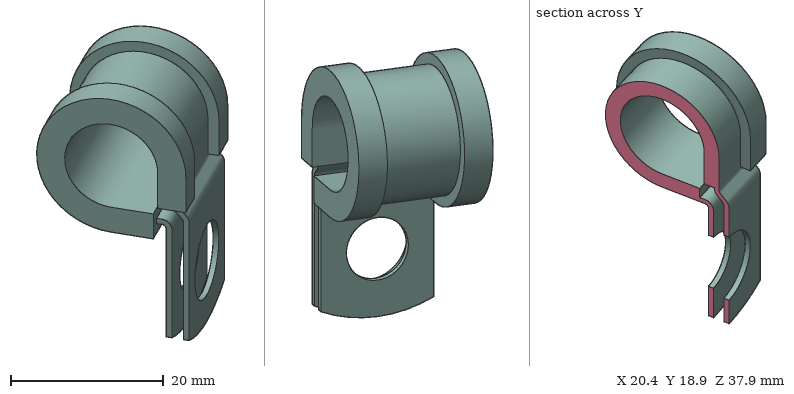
import cadquery as cq
import math

overall_height = 37.9
loop_diameter = 20.43
outer_radius = loop_diameter / 2
bore_radius = 6.35
cushion_width = 18.9
flange_width = 4.0
cushion_leg_drop = 5.4
cushion_leg_run = 5.75

strap_thickness = 0.8
strap_outer_radius = 8.7
strap_inner_radius = strap_outer_radius - strap_thickness
strap_width = 15.9
bend_inner_radius = 0.55
bend_outer_radius = bend_inner_radius + strap_thickness
jog_start_z = -5.72
jog_angle = 45.0
inner_tab_x = 7.85

tab_bottom_z = outer_radius - overall_height
tab_end_sag = 1.75
inner_hole_diameter = 8.7
hole_z = -18.23
outer_hole_diameter = 10.75


def extrude_centred(sketch, width):
    """Extrude an XZ outline symmetrically about Y = 0."""
    return sketch.extrude(width / 2, both=True)


def c_section(outer, width):
    """Three-quarter ring with a leg pointing down and a leg pointing +X."""
    outer_mid = outer * math.sqrt(0.5)
    bore_mid = bore_radius * math.sqrt(0.5)
    sketch = (
        cq.Workplane("XZ")
        .moveTo(outer, -cushion_leg_drop)
        .lineTo(outer, 0)
        .threePointArc((-outer_mid, outer_mid), (0, -outer))
        .lineTo(cushion_leg_run, -outer)
        .lineTo(cushion_leg_run, -bore_radius)
        .lineTo(0, -bore_radius)
        .threePointArc((-bore_mid, bore_mid), (bore_radius, 0))
        .lineTo(bore_radius, -cushion_leg_drop)
        .close()
    )
    return extrude_centred(sketch, width)


def make_cushion():
    """Ring whose middle is reduced to the strap surface between two flanges."""
    core = c_section(strap_outer_radius, cushion_width)
    flange_offset = (cushion_width - flange_width) / 2
    for side in (-1, 1):
        flange = c_section(outer_radius, flange_width).translate((0, side * flange_offset, 0))
        core = core.union(flange)
    return core


def round_bend(body, inside_corner, outside_corner):
    """Round both faces of one strap bend about a common centre."""
    corners = ((inside_corner, bend_inner_radius), (outside_corner, bend_outer_radius))
    for (x, z), radius in corners:
        edge = body.edges("|Y").edges(cq.selectors.NearestToPointSelector((x, 0, z)))
        body = edge.fillet(radius)
    return body


def make_outer_tab():
    """Tab below the vertical leg, jogged outward on a slant."""
    jog = outer_radius - strap_outer_radius
    miter = strap_thickness * math.tan(math.radians(jog_angle / 2))
    jog_end_z = jog_start_z - jog / math.tan(math.radians(jog_angle))
    upper_right = (strap_outer_radius, jog_start_z)
    upper_left = (strap_inner_radius, jog_start_z - miter)
    lower_right = (outer_radius, jog_end_z)
    lower_left = (outer_radius - strap_thickness, jog_end_z - miter)
    sketch = cq.Workplane("XZ").polyline([
        (strap_outer_radius, -bend_outer_radius),
        upper_right,
        lower_right,
        (outer_radius, tab_bottom_z),
        (outer_radius - strap_thickness, tab_bottom_z),
        lower_left,
        upper_left,
        (strap_inner_radius, -bend_outer_radius),
    ]).close()
    body = extrude_centred(sketch, strap_width)
    body = round_bend(body, upper_right, upper_left)
    return round_bend(body, lower_left, lower_right)


def make_inner_tab():
    """Tab turned down from the end of the horizontal leg."""
    outside_corner = (inner_tab_x, -strap_inner_radius)
    inside_corner = (inner_tab_x - strap_thickness, -strap_outer_radius)
    sketch = cq.Workplane("XZ").polyline([
        (0, -strap_inner_radius),
        outside_corner,
        (inner_tab_x, tab_bottom_z),
        (inner_tab_x - strap_thickness, tab_bottom_z),
        inside_corner,
        (0, -strap_outer_radius),
    ]).close()
    body = extrude_centred(sketch, strap_width)
    return round_bend(body, inside_corner, outside_corner)


def make_tab_blank():
    """Face outline shared by both tabs, with an arched lower end."""
    half_width = strap_width / 2
    corner_z = tab_bottom_z + tab_end_sag
    return (
        cq.Workplane("YZ")
        .moveTo(-half_width, 0)
        .lineTo(-half_width, corner_z)
        .threePointArc((0, tab_bottom_z), (half_width, corner_z))
        .lineTo(half_width, 0)
        .close()
        .extrude(outer_radius)
    )


def bolt_hole(diameter):
    """Round cutter along X at the bolt position."""
    return cq.Workplane("YZ").center(0, hole_z).circle(diameter / 2).extrude(outer_radius)


tab_blank = make_tab_blank()
inner_tab = make_inner_tab().intersect(tab_blank).cut(bolt_hole(inner_hole_diameter))
outer_tab = make_outer_tab().intersect(tab_blank).cut(bolt_hole(outer_hole_diameter))
result = make_cushion().union(inner_tab).union(outer_tab)